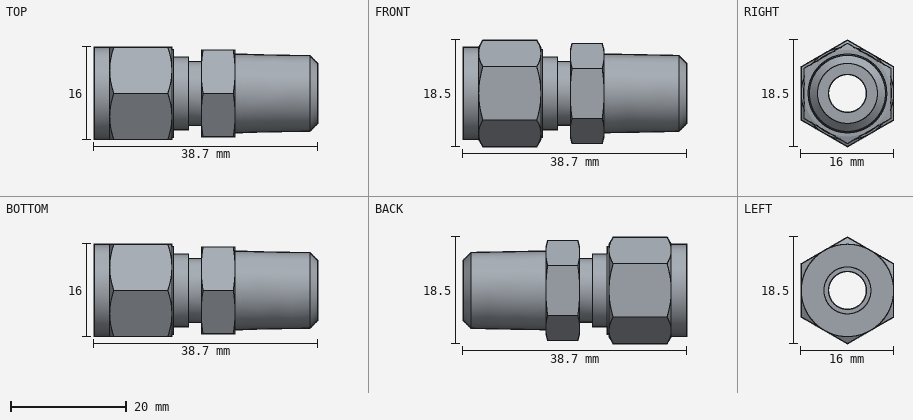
import cadquery as cq
import math

length = 38.7

nut_flats = 16.0
collar_end = 2.7
nut_end = 13.45
nut_chamfer_angle = 30.0
nut_face_diameter = 15.25
nut_face_end = 13.78

neck_diameter = 12.6
neck_end = 16.35
groove_diameter = 11.1

hex_start = 18.55
hex_end = 24.4
hex_flats = 15.0
hex_chamfer_angle = 15.0

pipe_diameter = 13.62
pipe_tip_diameter = 13.15
taper_start = 25.43
tip_chamfer = 1.4

bore_diameter = 6.5
socket_diameter = 8.13
socket_depth = 16.25


def revolved(profile):
    """Solid turned about the X axis from (x, radius) points."""
    return cq.Workplane("XZ").polyline(profile).close().revolve(360, (0, 0, 0), (1, 0, 0))


def cylinder(start, end, diameter):
    """Round bar along X from start to end."""
    radius = diameter / 2
    return revolved([(start, 0), (start, radius), (end, radius), (end, 0)])


def chamfered_hexagon(start, end, flats, chamfer_angle):
    """Hexagon with corners up and down, both ends turned off to a cone at the flats."""
    corner_radius = flats / math.sqrt(3)
    face_radius = flats / 2
    chamfer_length = (corner_radius - face_radius) * math.tan(math.radians(chamfer_angle))
    prism = (
        cq.Workplane("YZ", origin=(start, 0, 0))
        .polygon(6, 2 * corner_radius)
        .extrude(end - start)
        .rotate((0, 0, 0), (1, 0, 0), 90)
    )
    envelope = revolved([
        (start, 0),
        (start, face_radius),
        (start + chamfer_length, corner_radius),
        (end - chamfer_length, corner_radius),
        (end, face_radius),
        (end, 0),
    ])
    return prism.intersect(envelope)


def pipe_end():
    """Short cylinder, slight taper and chamfered tip."""
    tip_radius = pipe_tip_diameter / 2
    return revolved([
        (hex_end, 0),
        (hex_end, pipe_diameter / 2),
        (taper_start, pipe_diameter / 2),
        (length - tip_chamfer, tip_radius),
        (length, tip_radius - tip_chamfer),
        (length, 0),
    ])


nut = (
    chamfered_hexagon(collar_end, nut_end, nut_flats, nut_chamfer_angle)
    .union(cylinder(0, collar_end, nut_flats))
    .union(cylinder(nut_end, nut_face_end, nut_face_diameter))
)
neck = cylinder(nut_face_end, neck_end, neck_diameter).union(
    cylinder(neck_end, hex_start, groove_diameter)
)
body = chamfered_hexagon(hex_start, hex_end, hex_flats, hex_chamfer_angle).union(pipe_end())

bore = cylinder(0, length, bore_diameter)
tube_socket = cylinder(0, socket_depth, socket_diameter)

result = nut.union(neck).union(body).cut(bore).cut(tube_socket)